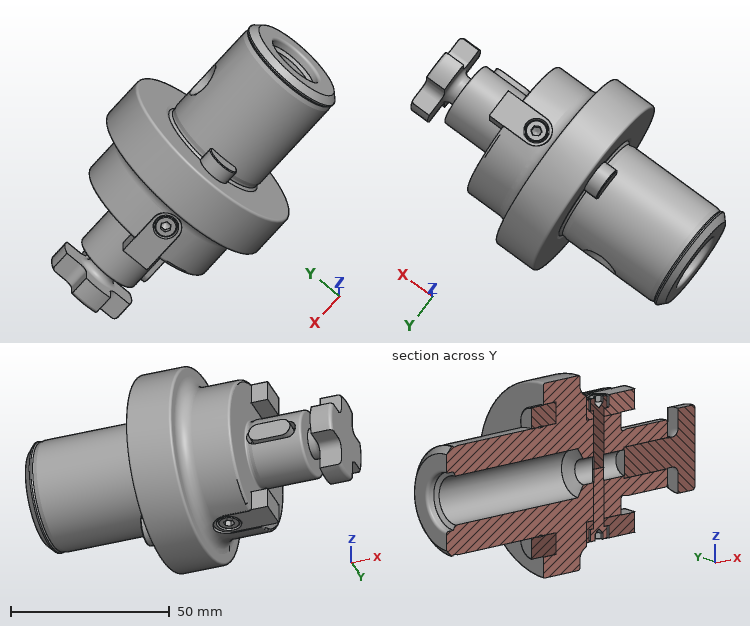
import cadquery as cq
import math

flange_start = 39.8
flange_end = 55.0
neck_end = 72.0
pilot_end = 90.9
bolt_head_start = 95.1
bolt_head_end = 102.2

shank_radius = 18.0
shank_mouth_radius = 15.7
lead_in_length = 2.1
relief_depth = 0.3
relief_taper_length = 1.2
groove_start = 2.7
groove_wall_length = 0.5
groove_floor_length = 0.3
shank_relief_start = 37.3
shank_relief_floor = 0.7
face_recess_radius = 19.6
face_recess_depth = 0.3
dimple_x = 24.3
dimple_radius = 6.2

flange_radius = 32.0
edge_fillet = 0.8
neck_radius = 24.4
neck_blend_radius = 4.1
pilot_radius = 11.0
pilot_relief_end = 74.2
pilot_root_radius = 0.5

bore_lip_radius = 0.9
bore_entry_radius = 9.5
bore_entry_depth = 2.8
bore_radius = 8.0
bore_seat_length = 0.9
bore_end_radius = 4.2
bore_cone_end = 56.2
bore_cone_half_angle = 59

drive_key_width = 10.0
drive_key_centre_x = 62.7
drive_key_end_x = 77.5
drive_key_floor = 16.8
drive_key_top = 23.5

screw_radius = 2.0
screw_head_radius = 3.5
screw_head_height = 4.0
screw_head_chamfer = 0.3
screw_seat_radius = 4.0
screw_seat_depth = 4.1
screw_socket_flats = 3.1
screw_socket_depth = 3.6

feather_width = 5.9
feather_length = 13.9
feather_centre_x = 80.8
feather_height = 6.0
feather_top = 12.5
keyway_length = 16.5

pin_radius = 5.5
pin_offset = 19.3
pin_start = 34.9
pin_embed = 5.1
pin_chamfer = 0.3

bolt_radius = 5.0
bolt_length = 22.0
bolt_tip = bolt_head_start - bolt_length
bolt_neck_fillet = 2.1
bolt_head_radius = 14.0
bolt_lobe_width = 10.0
bolt_lobe_fillet = 2.8
bolt_edge_fillet = 1.2

SIDES = (0, 180)


def revolve_about_x(profile):
    """Revolve a closed profile drawn as (x, radius) about the X axis."""
    return profile.revolve(360, (0, 0, 0), (1, 0, 0))


def x_cylinder(start, end, radius):
    return cq.Workplane("YZ").workplane(offset=start).circle(radius).extrude(end - start)


def z_cylinder(x, bottom, top, radius):
    return cq.Workplane("XY", origin=(x, 0, bottom)).circle(radius).extrude(top - bottom)


def cone(base, direction, radius):
    """A 90 degree cone: base centre, direction to the tip, base radius."""
    height = radius
    return cq.Workplane(cq.Solid.makeCone(radius, 0, height, cq.Vector(*base), cq.Vector(*direction)))


def arc_inset(radius):
    """Distance from a square corner, along each side, to the middle of its rounding arc."""
    return radius * (1 - math.sin(math.pi / 4))


def turned(body, angle):
    """Rotate a body about the X axis."""
    return body.rotate((0, 0, 0), (1, 0, 0), angle)


def driving_pin():
    pin = x_cylinder(pin_start, flange_start + pin_embed, pin_radius)
    pin = pin.faces("<X").chamfer(pin_chamfer).translate((0, 0, pin_offset))
    return pin.cut(x_cylinder(pin_start, flange_start + pin_embed, shank_radius))


def drive_key_blank(top):
    half_width = drive_key_width / 2
    return (
        cq.Workplane("XY", origin=(0, 0, drive_key_floor))
        .moveTo(drive_key_centre_x, half_width)
        .lineTo(drive_key_end_x, half_width)
        .lineTo(drive_key_end_x, -half_width)
        .lineTo(drive_key_centre_x, -half_width)
        .threePointArc((drive_key_centre_x - half_width, 0), (drive_key_centre_x, half_width))
        .close()
        .extrude(top - drive_key_floor)
    )


def drive_key():
    seat = z_cylinder(drive_key_centre_x, drive_key_top - screw_seat_depth, drive_key_top, screw_seat_radius)
    hole = z_cylinder(drive_key_centre_x, drive_key_floor, drive_key_top, screw_radius)
    return drive_key_blank(drive_key_top).cut(seat).cut(hole)


def key_screw():
    head_base = drive_key_top - screw_seat_depth
    head_top = head_base + screw_head_height
    head = z_cylinder(drive_key_centre_x, head_base, head_top, screw_head_radius)
    head = head.faces(">Z").chamfer(screw_head_chamfer)
    shank = z_cylinder(drive_key_centre_x, 0, head_base, screw_radius)
    corner_radius = screw_socket_flats / 2 / math.cos(math.pi / 6)
    socket = (
        cq.Workplane("XY", origin=(drive_key_centre_x, 0, head_top))
        .transformed(rotate=(0, 0, 30))
        .polygon(6, 2 * corner_radius)
        .extrude(-screw_socket_depth)
    )
    wall_depth = screw_socket_depth - corner_radius
    wall_end = head_top - wall_depth
    drill = z_cylinder(drive_key_centre_x, wall_end, head_top, corner_radius)
    drill = drill.union(cone((drive_key_centre_x, 0, wall_end), (0, 0, -1), corner_radius))
    socket = socket.intersect(drill)
    return head.union(shank).cut(socket)


def feather_shape(length):
    floor = feather_top - feather_height
    return (
        cq.Workplane("XZ", origin=(feather_centre_x, -floor, 0))
        .slot2D(length, feather_width)
        .extrude(feather_height)
    )


def retaining_bolt():
    head_length = bolt_head_end - bolt_head_start
    span = 2 * bolt_head_radius
    arms = cq.Workplane("YZ", origin=(bolt_head_start, 0, 0)).rect(span, bolt_lobe_width).extrude(head_length)
    cross = arms.union(turned(arms, 90))
    inner_corners = cq.selectors.BoxSelector(
        (bolt_head_start, -bolt_lobe_width, -bolt_lobe_width), (bolt_head_end, bolt_lobe_width, bolt_lobe_width)
    )
    cross = cross.edges("|X").edges(inner_corners).fillet(bolt_lobe_fillet)
    disc = x_cylinder(bolt_head_start, bolt_head_end, bolt_head_radius)
    disc = disc.faces(">X").edges().fillet(bolt_edge_fillet)
    head = cross.intersect(disc)

    blend_start = bolt_head_start - bolt_neck_fillet
    flare_radius = bolt_radius + bolt_neck_fillet
    blend_mid = arc_inset(bolt_neck_fillet)
    shank = revolve_about_x(
        cq.Workplane("XY")
        .moveTo(bolt_tip, 0)
        .lineTo(bolt_tip, bolt_radius)
        .lineTo(blend_start, bolt_radius)
        .threePointArc((bolt_head_start - blend_mid, bolt_radius + blend_mid), (bolt_head_start, flare_radius))
        .lineTo(bolt_head_start, 0)
        .close()
    )
    return head.union(shank)


def holder_outside():
    shank_floor = shank_radius - relief_depth
    pilot_floor = pilot_radius - relief_depth
    groove_floor_start = groove_start + groove_wall_length
    groove_floor_end = groove_floor_start + groove_floor_length
    relief_floor_start = shank_relief_start + relief_taper_length
    relief_floor_end = relief_floor_start + shank_relief_floor
    recess_floor = flange_start + face_recess_depth
    recess_floor_radius = shank_floor + recess_floor - relief_floor_end
    blend_end = flange_end + neck_blend_radius
    blend_mid = arc_inset(neck_blend_radius)
    edge_mid = arc_inset(edge_fillet)
    root_mid = arc_inset(pilot_root_radius)
    return revolve_about_x(
        cq.Workplane("XY")
        .moveTo(0, 0)
        .lineTo(0, shank_mouth_radius)
        .lineTo(lead_in_length, shank_radius)
        .lineTo(groove_start, shank_radius)
        .lineTo(groove_floor_start, shank_floor)
        .lineTo(groove_floor_end, shank_floor)
        .lineTo(groove_floor_end + relief_taper_length, shank_radius)
        .lineTo(shank_relief_start, shank_radius)
        .lineTo(relief_floor_start, shank_floor)
        .lineTo(relief_floor_end, shank_floor)
        .lineTo(recess_floor, recess_floor_radius)
        .lineTo(flange_start, face_recess_radius)
        .lineTo(flange_start, flange_radius - edge_fillet)
        .threePointArc(
            (flange_start + edge_mid, flange_radius - edge_mid), (flange_start + edge_fillet, flange_radius)
        )
        .lineTo(flange_end - edge_fillet, flange_radius)
        .threePointArc(
            (flange_end - edge_mid, flange_radius - edge_mid), (flange_end, flange_radius - edge_fillet)
        )
        .lineTo(flange_end, neck_radius + neck_blend_radius)
        .threePointArc((flange_end + blend_mid, neck_radius + blend_mid), (blend_end, neck_radius))
        .lineTo(neck_end - edge_fillet, neck_radius)
        .threePointArc((neck_end - edge_mid, neck_radius - edge_mid), (neck_end, neck_radius - edge_fillet))
        .lineTo(neck_end, pilot_floor + pilot_root_radius)
        .threePointArc(
            (neck_end + root_mid, pilot_floor + root_mid), (neck_end + pilot_root_radius, pilot_floor)
        )
        .lineTo(pilot_relief_end - relief_taper_length, pilot_floor)
        .lineTo(pilot_relief_end, pilot_radius)
        .lineTo(pilot_end - edge_fillet, pilot_radius)
        .threePointArc(
            (pilot_end - edge_mid, pilot_radius - edge_mid), (pilot_end, pilot_radius - edge_fillet)
        )
        .lineTo(pilot_end, 0)
        .close()
    )


def central_bore():
    cone_length = (bore_radius - bore_end_radius) / math.tan(math.radians(bore_cone_half_angle))
    lip_mid = arc_inset(bore_lip_radius)
    return revolve_about_x(
        cq.Workplane("XY")
        .moveTo(0, 0)
        .lineTo(0, bore_entry_radius + bore_lip_radius)
        .threePointArc((lip_mid, bore_entry_radius + lip_mid), (bore_lip_radius, bore_entry_radius))
        .lineTo(bore_entry_depth, bore_entry_radius)
        .lineTo(bore_entry_depth + bore_seat_length, bore_radius)
        .lineTo(bore_cone_end - cone_length, bore_radius)
        .lineTo(bore_cone_end, bore_end_radius)
        .lineTo(bolt_tip, bore_end_radius)
        .lineTo(bolt_tip, 0)
        .close()
    )


def clamping_dimple():
    overshoot = 1.0
    base = (dimple_x, shank_radius + overshoot, 0)
    return cone(base, (0, -1, 0), dimple_radius + overshoot)


def holder():
    body = holder_outside()
    body = body.cut(central_bore())
    body = body.cut(clamping_dimple())
    body = body.cut(x_cylinder(bolt_tip, pilot_end, bolt_radius))
    body = body.cut(z_cylinder(drive_key_centre_x, -drive_key_floor, drive_key_floor, screw_radius))
    body = body.cut(feather_shape(keyway_length))
    for angle in SIDES:
        body = body.cut(turned(drive_key_blank(flange_radius), angle))
        body = body.cut(turned(driving_pin(), angle))
    return body


holder_body = holder()
bolt = retaining_bolt()
feather_key = feather_shape(feather_length)
drive_keys = [turned(drive_key(), angle) for angle in SIDES]
key_screws = [turned(key_screw(), angle) for angle in SIDES]
driving_pins = [turned(driving_pin(), angle) for angle in SIDES]

result = cq.Compound.makeCompound([
    holder_body.val(),
    bolt.val(),
    feather_key.val(),
    *[key.val() for key in drive_keys],
    *[screw.val() for screw in key_screws],
    *[pin.val() for pin in driving_pins],
])